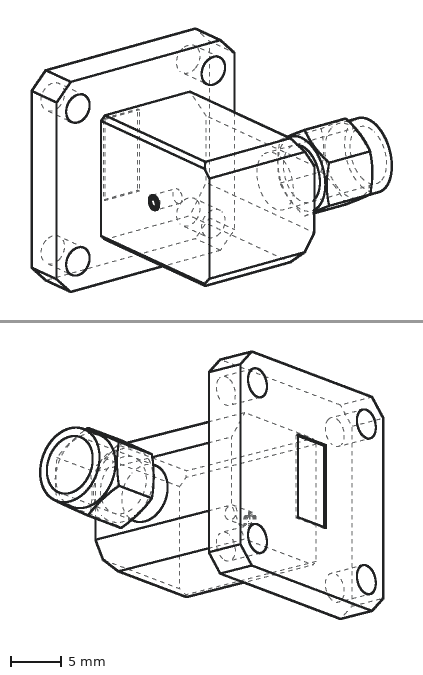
import cadquery as cq
import math

flange_size = 22.352
flange_thickness = 4.064
flange_corner_chamfer = 1.778
bolt_spacing_y = 17.018
bolt_spacing_z = 16.256
bolt_hole_diameter = 2.95

port_width_y = 4.318
port_height_z = 2 * port_width_y
port_depth = 0.254

overall_length = 21.59
block_length = overall_length - flange_thickness
block_height = 13.2
block_front_y = -5.588
block_back_y = 7.595
block_end_chamfer = 1.27
front_edge_chamfer = 0.48
back_edge_chamfer_y = 2.03
back_edge_chamfer_z = 3.05

screw_x = 12.55
screw_length = 3.0
thread_diameter = 1.524
tip_diameter = 1.18
tip_length = 0.1
socket_diameter = 0.8
socket_cone_diameter = 0.7
socket_depth = 0.5
socket_cone_depth = 0.2

connector_x = 15.24
connector_end_y = flange_size / 2 + 8.128
barrel_diameter = 5.9
nut_across_flats = 7.9375
nut_across_corners = nut_across_flats / math.cos(math.pi / 6)
nut_rear_y = 10.93
collar_diameter = 7.65
collar_length = 2.48
hex_chamfer_angle = 26
hex_chamfer_height = (nut_across_corners - collar_diameter) / 2
hex_chamfer_length = hex_chamfer_height * math.tan(math.radians(hex_chamfer_angle))


def revolve_about_y(axis_x, profile):
    """Revolve (radius, y) points about the line parallel to Y at X = axis_x, Z = 0."""
    return (
        cq.Workplane("XY", origin=(axis_x, 0, 0))
        .polyline(profile)
        .close()
        .revolve(360, (0, 0, 0), (0, 1, 0))
    )


def make_block():
    """Block with its far end, front edges and back edges chamfered alike above and below."""
    half_height = block_height / 2
    side_outline = [
        (block_front_y, half_height - front_edge_chamfer),
        (block_front_y + front_edge_chamfer, half_height),
        (block_back_y - back_edge_chamfer_y, half_height),
        (block_back_y, half_height - back_edge_chamfer_z),
    ]
    lower_outline = [(y, -z) for y, z in reversed(side_outline)]
    block = (
        cq.Workplane("YZ", origin=(flange_thickness, 0, 0))
        .polyline(side_outline + lower_outline)
        .close()
        .extrude(block_length)
    )
    width = block_back_y - block_front_y
    end_trim = (
        cq.Workplane("XY")
        .box(block_length, width, block_height, centered=(False, False, True))
        .edges(">X and |Y")
        .chamfer(block_end_chamfer)
        .translate((flange_thickness, block_front_y, 0))
    )
    return block.intersect(end_trim)


def make_housing():
    flange = (
        cq.Workplane("YZ")
        .rect(flange_size, flange_size)
        .extrude(flange_thickness)
        .edges("|X")
        .chamfer(flange_corner_chamfer)
    )
    bolt_holes = (
        cq.Workplane("YZ")
        .rect(bolt_spacing_y, bolt_spacing_z, forConstruction=True)
        .vertices()
        .circle(bolt_hole_diameter / 2)
        .extrude(flange_thickness)
    )
    port = cq.Workplane("YZ").rect(port_width_y, port_height_z).extrude(port_depth)
    screw_hole = revolve_about_y(
        screw_x,
        [
            (0, block_front_y),
            (thread_diameter / 2, block_front_y),
            (thread_diameter / 2, block_front_y + screw_length),
            (0, block_front_y + screw_length),
        ],
    )
    return flange.union(make_block()).cut(bolt_holes).cut(port).cut(screw_hole)


def make_tuning_screw():
    """Threaded shank with a reduced outer tip and a round, cone-bottomed socket."""
    shank_start_y = block_front_y + tip_length
    inner_end_y = block_front_y + screw_length
    socket_floor_y = block_front_y + socket_depth
    return revolve_about_y(
        screw_x,
        [
            (socket_diameter / 2, block_front_y),
            (tip_diameter / 2, block_front_y),
            (tip_diameter / 2, shank_start_y),
            (thread_diameter / 2, shank_start_y),
            (thread_diameter / 2, inner_end_y),
            (0, inner_end_y),
            (0, socket_floor_y + socket_cone_depth),
            (socket_cone_diameter / 2, socket_floor_y),
            (socket_diameter / 2, socket_floor_y),
        ],
    )


def make_connector_barrel():
    return revolve_about_y(
        connector_x,
        [
            (0, block_back_y),
            (barrel_diameter / 2, block_back_y),
            (barrel_diameter / 2, connector_end_y),
            (0, connector_end_y),
        ],
    )


def make_coupling_nut():
    """Hex with corners on +Z and -Z, coned at both ends, a round collar in front, bored for the barrel."""
    hex_end_y = connector_end_y - collar_length
    hex_length = hex_end_y - nut_rear_y
    hexagon = (
        cq.Workplane("XZ", origin=(connector_x, nut_rear_y, 0))
        .transformed(rotate=(0, 0, 90))
        .polygon(6, nut_across_corners)
        .extrude(-hex_length)
    )
    corner_trim = revolve_about_y(
        connector_x,
        [
            (0, nut_rear_y),
            (collar_diameter / 2, nut_rear_y),
            (nut_across_corners / 2, nut_rear_y + hex_chamfer_length),
            (nut_across_corners / 2, hex_end_y - hex_chamfer_length),
            (collar_diameter / 2, hex_end_y),
            (0, hex_end_y),
        ],
    )
    collar = (
        cq.Workplane("XZ", origin=(connector_x, hex_end_y, 0))
        .circle(collar_diameter / 2)
        .extrude(-collar_length)
    )
    return hexagon.intersect(corner_trim).union(collar).cut(make_connector_barrel())


housing = make_housing()
tuning_screw = make_tuning_screw()
connector_barrel = make_connector_barrel()
coupling_nut = make_coupling_nut()

result = cq.Compound.makeCompound(
    [housing.val(), tuning_screw.val(), connector_barrel.val(), coupling_nut.val()]
)